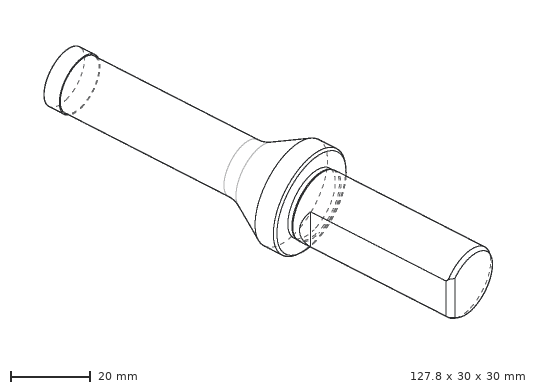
import cadquery as cq
import math

total_length = 127.8
head_length = 4.9
cone_end = 71.4
collar_end = 77.8
relief_end = 79.1

head_radius = 8.4
neck_radius = 8.0
collar_radius = 15.01
shank_radius = 10.0
relief_radius = 9.8

cone_angle = math.radians(29)
neck_fillet = 9.7
collar_chamfer = 0.6
relief_taper = 0.4
tip_chamfer_length = 1.1
tip_chamfer_depth = 0.8

flat_offset = 7.98
flat_start = 83.5
flat_run_in = shank_radius - flat_offset
flat_tip_chamfer = 1.5


def turned_body():
    """Revolve the half profile of the head, neck, collar and shank about X."""
    blend_end_radius = neck_radius + neck_fillet * (1 - math.cos(cone_angle))
    blend_end = cone_end - (collar_radius - blend_end_radius) / math.tan(cone_angle)
    blend_start = blend_end - neck_fillet * math.sin(cone_angle)
    half_angle = cone_angle / 2
    blend_middle = (
        blend_start + neck_fillet * math.sin(half_angle),
        neck_radius + neck_fillet * (1 - math.cos(half_angle)),
    )
    return (
        cq.Workplane("XY")
        .moveTo(0, 0)
        .lineTo(0, head_radius)
        .lineTo(head_length, head_radius)
        .lineTo(head_length, neck_radius)
        .lineTo(blend_start, neck_radius)
        .threePointArc(blend_middle, (blend_end, blend_end_radius))
        .lineTo(cone_end, collar_radius)
        .lineTo(collar_end - collar_chamfer, collar_radius)
        .lineTo(collar_end, collar_radius - collar_chamfer)
        .lineTo(collar_end, relief_radius)
        .lineTo(relief_end, relief_radius)
        .lineTo(relief_end + relief_taper, shank_radius)
        .lineTo(total_length - tip_chamfer_length, shank_radius)
        .lineTo(total_length, shank_radius - tip_chamfer_depth)
        .lineTo(total_length, 0)
        .close()
        .revolve(360, (0, 0, 0), (1, 0, 0))
    )


def flat_cutter():
    """Block below the flat, with a 45 degree run-in and a chamfer at the tip."""
    return (
        cq.Workplane("XY")
        .moveTo(flat_start, -flat_offset)
        .lineTo(total_length - flat_tip_chamfer, -flat_offset)
        .lineTo(total_length, -flat_offset + flat_tip_chamfer)
        .lineTo(total_length, -shank_radius)
        .lineTo(flat_start - flat_run_in, -shank_radius)
        .close()
        .extrude(shank_radius, both=True)
    )


result = turned_body().cut(flat_cutter())